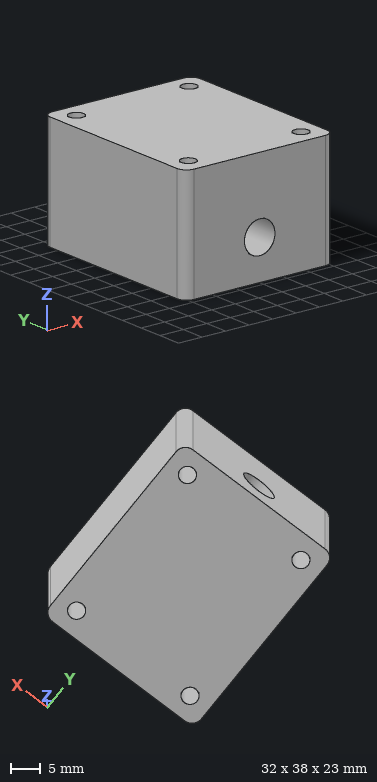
import cadquery as cq

width = 32.0
length = 38.0
height = 23.0
corner_radius = 2.0

mount_diameter = 3.0
mount_spacing_x = 24.0
mount_spacing_y = 30.0

bore_diameter = 6.5
bore_height = 8.0


def rounded_block():
    """Block standing on Z = 0 with rounded vertical edges."""
    block = cq.Workplane("XY").box(width, length, height, centered=(True, True, False))
    return block.edges("|Z").fillet(corner_radius)


def mounting_holes():
    """Four full-height cylinders on a rectangular pattern."""
    return (
        cq.Workplane("XY")
        .rect(mount_spacing_x, mount_spacing_y, forConstruction=True)
        .vertices()
        .circle(mount_diameter / 2)
        .extrude(height)
    )


def lengthwise_bore():
    """Cylinder running the full length of the block."""
    return (
        cq.Workplane("XZ")
        .center(0, bore_height)
        .circle(bore_diameter / 2)
        .extrude(length / 2, both=True)
    )


result = rounded_block().cut(mounting_holes()).cut(lengthwise_bore())